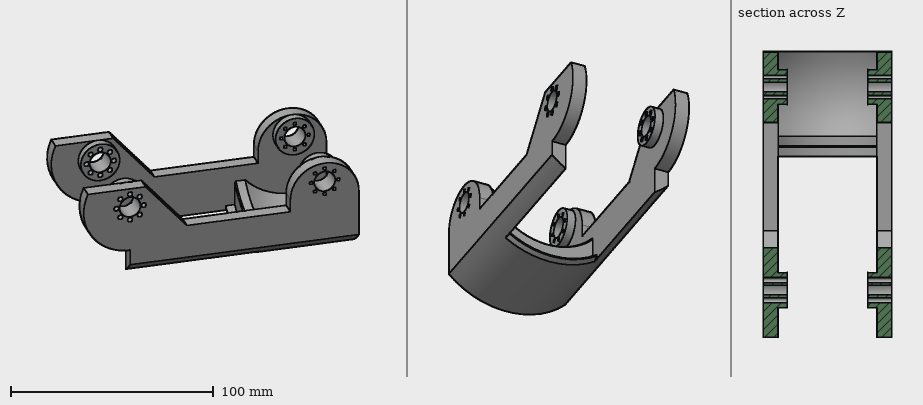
import cadquery as cq
import math


total_width = 63.5
arm_thickness = 7.5
total_length = 141.5
inner_width = total_width - 2 * arm_thickness
inner_half_width = inner_width / 2

pivot_spacing = 100.0
boss_diameter = 20.0
boss_height = 4.5
bore_diameter = 10.7
bolt_circle_diameter = 14.0
bolt_count = 8
cradle_bolt_diameter = 1.5
tip_bolt_diameter = 2.4

top_z = boss_diameter / 2
ear_radius = 17.61
back_y = ear_radius
ear_center_z = top_z - ear_radius
shelf_z = -14.3
ramp_bottom_y = back_y - 88.4
ramp_top_y = back_y - 109.6
tip_pivot_y = -pivot_spacing
tip_radius = total_length - ear_radius - pivot_spacing

outer_radius = 44.91
socket_radius = 41.0
lip_radius = 33.1
lip_chamfer = 0.7
rebate_radius = 42.9
lip_front_y = back_y - 47.2
rim_front_y = back_y - 51.9
rim_chamfer_y = back_y - 49.2
rim_edge_radius = 43.49


def arm_profile():
    """Arm outline in the YZ plane, running well below the round underside."""
    tip_top_y = tip_pivot_y - math.sqrt(tip_radius**2 - top_z**2)
    return (
        cq.Workplane("YZ")
        .moveTo(back_y, -outer_radius)
        .lineTo(back_y, ear_center_z)
        .threePointArc((0, top_z), (-ear_radius, ear_center_z))
        .lineTo(-ear_radius, shelf_z)
        .lineTo(ramp_bottom_y, shelf_z)
        .lineTo(ramp_top_y, top_z)
        .lineTo(tip_top_y, top_z)
        .threePointArc((tip_pivot_y - tip_radius, 0), (tip_pivot_y, -tip_radius))
        .lineTo(tip_pivot_y, -outer_radius)
        .close()
    )


def make_arms():
    """Both arms, with their undersides trimmed to the cradle's outer cylinder."""
    arms = arm_profile().extrude(total_width / 2, both=True)
    gap = cq.Workplane("XY").box(inner_width, 3 * total_length, 3 * total_length)
    cylinder = cq.Workplane("XZ").circle(outer_radius).extrude(total_length, both=True)
    upper = cq.Workplane("XY").box(
        2 * outer_radius, 2 * total_length, outer_radius, centered=(True, True, False)
    )
    return arms.cut(gap).intersect(cylinder.union(upper))


def make_cradle():
    """Part of a revolved socket, limited to the space between the arms."""
    lip_back_y = -math.sqrt(socket_radius**2 - lip_radius**2)
    socket_back_radius = math.sqrt(socket_radius**2 - back_y**2)
    ring = (
        cq.Workplane("XY")
        .moveTo(outer_radius, back_y)
        .lineTo(socket_back_radius, back_y)
        .threePointArc((socket_radius, 0), (lip_radius, lip_back_y))
        .lineTo(lip_radius, lip_front_y + lip_chamfer)
        .lineTo(lip_radius + lip_chamfer, lip_front_y)
        .lineTo(rebate_radius, lip_front_y)
        .lineTo(rebate_radius, rim_front_y)
        .lineTo(rim_edge_radius, rim_front_y)
        .lineTo(outer_radius, rim_chamfer_y)
        .close()
        .revolve(360, (0, 0, 0), (0, 1, 0))
    )
    lower_gap = cq.Workplane("XY").box(
        inner_width, 2 * total_length, outer_radius, centered=(True, True, False)
    ).translate((0, 0, -outer_radius))
    return ring.intersect(lower_gap)


def add_pivot(body, pivot_y, bolt_diameter):
    """Add inward bosses at one pivot, then drill its bore and bolt circle."""
    for start_x in (-inner_half_width, inner_half_width - boss_height):
        boss = (
            cq.Workplane("YZ", origin=(start_x, pivot_y, 0))
            .circle(boss_diameter / 2)
            .extrude(boss_height)
        )
        body = body.union(boss)
    pivot_plane = cq.Workplane("YZ", origin=(0, pivot_y, 0))
    bore = pivot_plane.circle(bore_diameter / 2).extrude(total_width, both=True)
    bolts = (
        pivot_plane.polarArray(bolt_circle_diameter / 2, 0, 360, bolt_count)
        .circle(bolt_diameter / 2)
        .extrude(total_width, both=True)
    )
    return body.cut(bore).cut(bolts)


result = make_arms().union(make_cradle())
result = add_pivot(result, 0, cradle_bolt_diameter)
result = add_pivot(result, tip_pivot_y, tip_bolt_diameter)